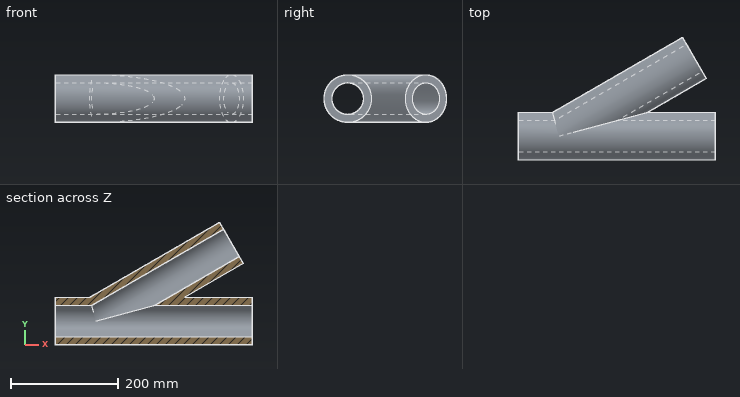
import cadquery as cq
import math

outer_diameter = 88.9
bore_diameter = 58.42

run_length = 368.3

junction_x = 76.2
branch_length = 292.1
branch_angle = math.radians(30)

run_start = cq.Vector(0, 0, 0)
run_direction = cq.Vector(1, 0, 0)
junction = cq.Vector(junction_x, 0, 0)
branch_direction = cq.Vector(math.cos(branch_angle), math.sin(branch_angle), 0)


def rod(diameter, length, start, direction):
    """Solid cylinder from a start point along a direction."""
    return cq.Workplane(cq.Solid.makeCylinder(diameter / 2, length, start, direction))


def lateral(diameter):
    """Run and branch cylinders of one diameter, joined at the junction."""
    run = rod(diameter, run_length, run_start, run_direction)
    branch = rod(diameter, branch_length, junction, branch_direction)
    return run.union(branch)


result = lateral(outer_diameter).cut(lateral(bore_diameter))